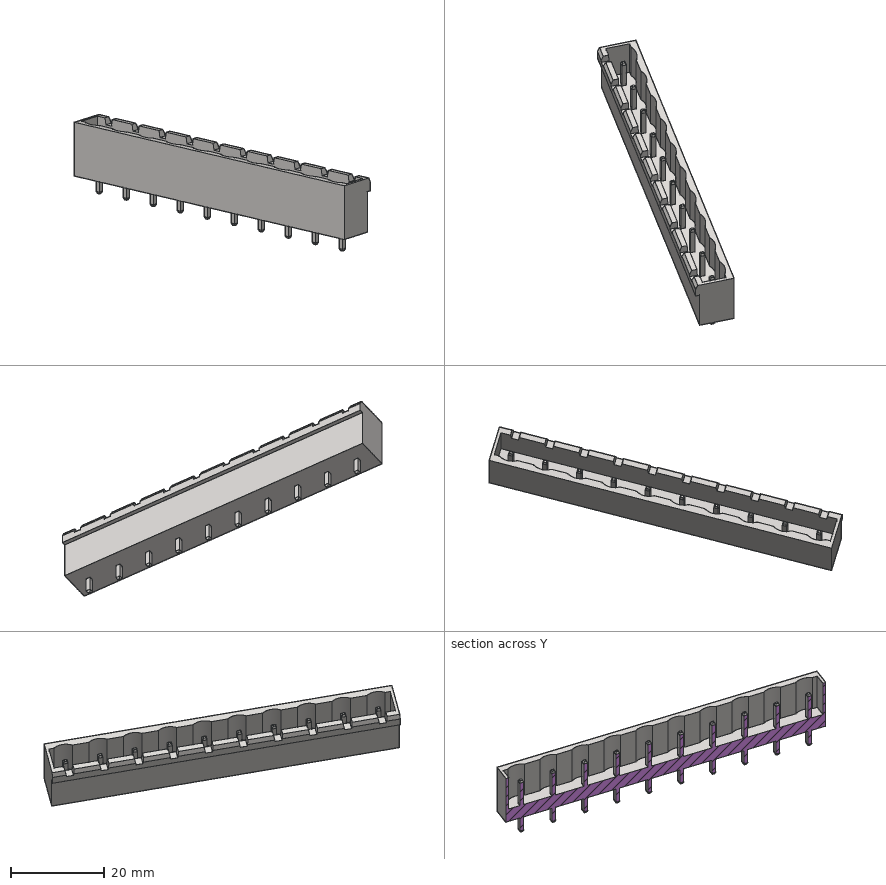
import cadquery as cq


PIN_COUNT = 10
PITCH = 7.62
LENGTH = PIN_COUNT * PITCH

BODY_DEPTH = 7.7
BODY_HEIGHT = 12.0

LIP_OVERHANG = 0.9
LIP_HEIGHT = 3.0
LIP_CHAMFER_DEPTH = 0.5
LIP_CHAMFER_HEIGHT = 1.0
TOTAL_DEPTH = BODY_DEPTH + LIP_OVERHANG

END_WALL = 0.7
FRONT_WALL = 1.6
BACK_WALL = 0.8
FLOOR_THICKNESS = 3.5

PIN_Y = BODY_DEPTH / 2
PIN_WIDTH = 1.0
PIN_TAIL = 4.0
PIN_TOP = 10.0
PIN_TIP_CHAMFER_WIDTH = 0.25
PIN_TIP_CHAMFER_HEIGHT = 0.5

RELIEF_DEPTH = 0.6
RELIEF_WIDTH = 4.0

NOTCH_FLOOR_WIDTH = 1.5
NOTCH_TOP_WIDTH = 2.0
NOTCH_DEPTH = 1.5

PIN_XS = [(i - (PIN_COUNT - 1) / 2) * PITCH for i in range(PIN_COUNT)]


def make_body():
    """Solid bar with a chamfered lip along its top back edge, swept along X."""
    lip_bottom = BODY_HEIGHT - LIP_HEIGHT
    profile = [
        (0, 0),
        (BODY_DEPTH, 0),
        (BODY_DEPTH, lip_bottom),
        (TOTAL_DEPTH, lip_bottom),
        (TOTAL_DEPTH, BODY_HEIGHT - LIP_CHAMFER_HEIGHT),
        (TOTAL_DEPTH - LIP_CHAMFER_DEPTH, BODY_HEIGHT),
        (0, BODY_HEIGHT),
    ]
    return cq.Workplane("YZ").polyline(profile).close().extrude(LENGTH / 2, both=True)


def make_cavity():
    """Open-topped pocket, with a round relief in the front wall opposite each pin."""
    cavity_height = BODY_HEIGHT - FLOOR_THICKNESS
    floor = cq.Workplane("XY", origin=(0, 0, FLOOR_THICKNESS))
    pocket_depth = BODY_DEPTH - FRONT_WALL - BACK_WALL
    pocket = (
        floor.center(0, FRONT_WALL + pocket_depth / 2)
        .rect(LENGTH - 2 * END_WALL, pocket_depth)
        .extrude(cavity_height)
    )
    relief = (
        floor.moveTo(-RELIEF_WIDTH / 2, FRONT_WALL)
        .threePointArc((0, FRONT_WALL - RELIEF_DEPTH), (RELIEF_WIDTH / 2, FRONT_WALL))
        .close()
        .extrude(cavity_height)
    )
    cavity = pocket
    for x in PIN_XS:
        cavity = cavity.union(relief.translate((x, 0, 0)))
    return cavity


def make_notches():
    """Tapered keying notches through the top of the back wall, one behind each pin."""
    profile = [
        (-NOTCH_FLOOR_WIDTH / 2, BODY_HEIGHT - NOTCH_DEPTH),
        (NOTCH_FLOOR_WIDTH / 2, BODY_HEIGHT - NOTCH_DEPTH),
        (NOTCH_TOP_WIDTH / 2, BODY_HEIGHT),
        (-NOTCH_TOP_WIDTH / 2, BODY_HEIGHT),
    ]
    notch = cq.Workplane("XZ", origin=(0, TOTAL_DEPTH, 0)).polyline(profile).close()
    notch = notch.extrude(TOTAL_DEPTH - PIN_Y)
    notches = cq.Workplane("XY")
    for x in PIN_XS:
        notches = notches.add(notch.translate((x, 0, 0)))
    return notches.combine()


def make_pin_tip(z_base, direction):
    """Pyramid-shaped pin end that starts at z_base and points up (1) or down (-1)."""
    tip_width = PIN_WIDTH - 2 * PIN_TIP_CHAMFER_WIDTH
    return (
        cq.Workplane("XY", origin=(0, 0, z_base))
        .rect(PIN_WIDTH, PIN_WIDTH)
        .workplane(offset=direction * PIN_TIP_CHAMFER_HEIGHT)
        .rect(tip_width, tip_width)
        .loft(ruled=True)
    )


def make_pin():
    """Square pin through the floor, tapered at both ends, centred on the Z axis."""
    shank_bottom = PIN_TIP_CHAMFER_HEIGHT - PIN_TAIL
    shank_top = PIN_TOP - PIN_TIP_CHAMFER_HEIGHT
    shank = (
        cq.Workplane("XY", origin=(0, 0, shank_bottom))
        .rect(PIN_WIDTH, PIN_WIDTH)
        .extrude(shank_top - shank_bottom)
    )
    return shank.union(make_pin_tip(shank_bottom, -1)).union(make_pin_tip(shank_top, 1))


result = make_body().cut(make_cavity()).cut(make_notches())
pin = make_pin()
for x in PIN_XS:
    result = result.union(pin.translate((x, PIN_Y, 0)))